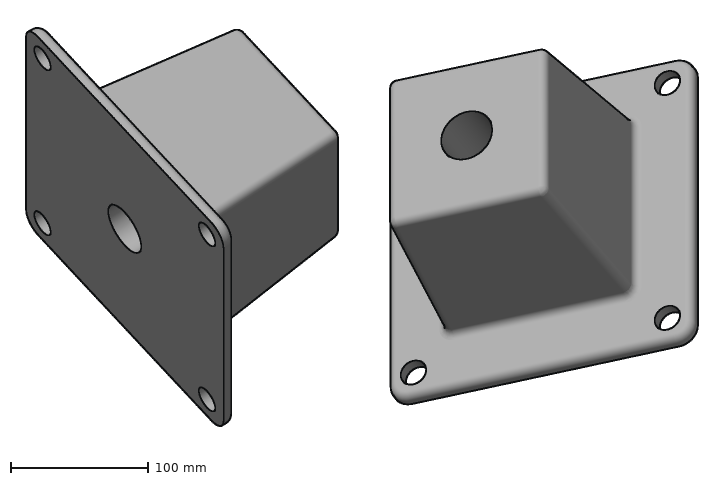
import cadquery as cq
import math

plate_side = 240.0
plate_thickness = 10.0
plate_corner_radius = 15.0
plate_edge_radius = 6.0

total_depth = 150.0
block_end_side = 123.8
draft_angle = 5.0
block_edge_radius = 6.0
block_root_radius = 6.0

bore_diameter = 40.0
bolt_diameter = 20.0
bolt_spacing = 200.0

block_height = total_depth - plate_thickness
block_root_side = block_end_side + 2 * block_height * math.tan(math.radians(draft_angle))


def back_plane(depth):
    """Plane parallel to XZ at Y = depth, with its normal along +Y."""
    return cq.Workplane(cq.Plane(origin=(0, depth, 0), xDir=(1, 0, 0), normal=(0, 1, 0)))


def make_plate():
    """Square plate with round corners and a rounded back rim."""
    plate = back_plane(0).rect(plate_side, plate_side).extrude(plate_thickness)
    plate = plate.edges("|Y").fillet(plate_corner_radius)
    return plate.faces(">Y").edges().fillet(plate_edge_radius)


def make_block():
    """Square block narrowing toward +Y, with rounded sides and end."""
    block = back_plane(plate_thickness).rect(block_root_side, block_root_side)
    block = block.extrude(block_height, taper=draft_angle)
    block = block.edges("not(#Y)").fillet(block_edge_radius)
    return block.faces(">Y").edges().fillet(block_edge_radius)


def root_edges(body):
    """Edges where the block meets the back face of the plate."""
    reach = block_root_side / 2 + block_root_radius
    margin = plate_thickness / 4
    corner_low = (-reach, plate_thickness - margin, -reach)
    corner_high = (reach, plate_thickness + margin, reach)
    return body.edges(cq.selectors.BoxSelector(corner_low, corner_high))


body = make_plate().union(make_block())
body = root_edges(body).fillet(block_root_radius)

bore = back_plane(0).circle(bore_diameter / 2).extrude(total_depth)

bolt_holes = (
    back_plane(0)
    .rect(bolt_spacing, bolt_spacing, forConstruction=True)
    .vertices()
    .circle(bolt_diameter / 2)
    .extrude(plate_thickness)
)

result = body.cut(bore).cut(bolt_holes)